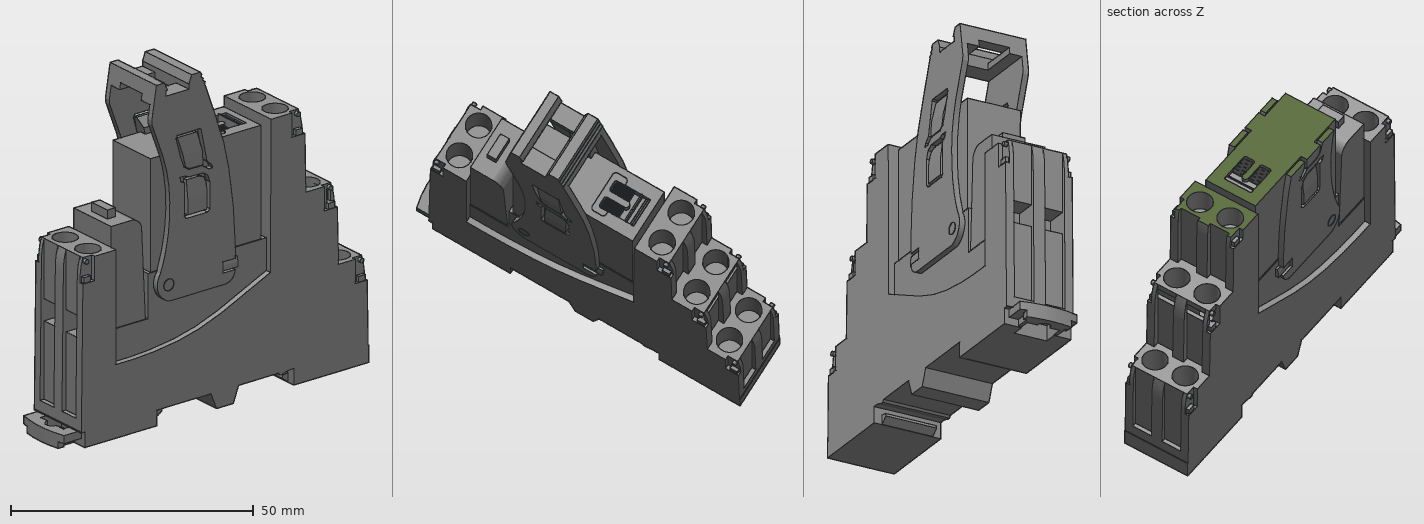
import cadquery as cq


BODY_HALF = 7.9
SOCKET_HALF = 6.5
RELAY_HALF = 6.26
CLIP_OUTER = 7.78
CLIP_INNER = 6.45

BASE_REAR = 75.2
REAR_TOP = 24.0
MIDDLE_TOP = 42.35
UPPER_TOP = 61.0
RAIL_ROOF = 3.7
FOOT_TOP = 3.9
FRONT_FLOOR = 0.2
RAIL_REAR = 55.6
RAIL_FRONT = 19.8
HOOK_HALF = 6.0

REAR_TERMINAL = (74.05, 74.8, REAR_TOP, 70.15, 6.4, 1)
MIDDLE_TERMINAL = (65.95, 67.0, MIDDLE_TOP, 62.25, REAR_TOP, 1)
UPPER_TERMINAL = (57.5, 58.55, UPPER_TOP, 53.9, MIDDLE_TOP, 1)
FRONT_TERMINAL = (1.2, 0.5, MIDDLE_TOP, 5.0, 6.4, -1)
TERMINALS = (REAR_TERMINAL, MIDDLE_TERMINAL, UPPER_TERMINAL, FRONT_TERMINAL)
BULGE_HEIGHT = 5.45
HOLE_RADIUS = 2.72
HOLE_X = 3.8
HOLE_DEPTH = 8.0
SLOT_INNER = 1.35
SLOT_OUTER = 6.0
SLOT_REACH = 3.0
ENTRY_BOTTOM = 23.9
ENTRY_TOP = 28.85
ENTRY_DEPTH = 5.0
NOTCH_LENGTH = 2.35
NOTCH_DEPTH = 0.95
NOTCH_PIN_RADIUS = 0.5
NOTCH_PIN_INSET = 0.5
NOTCH_PIN_DROP = 0.85
NOTCH_BLOCK_LENGTH = 1.75
NOTCH_BLOCK_HEIGHT = 1.3
NOTCH_FITTING_FACE = BODY_HALF - 0.15

WINDOW_BOTTOM = MIDDLE_TOP - BULGE_HEIGHT + NOTCH_BLOCK_HEIGHT
WINDOW_TOP = MIDDLE_TOP - 1.4
WINDOW_GAP = 0.95

SOCKET_REAR = 49.5
SOCKET_FRONT = 18.6
SOCKET_TOP = 34.1
MODULE_FLOOR = REAR_TOP
COLUMN_REAR = 9.15
KEY_HALF = 1.1
RELAY_REAR = 48.3
RELAY_FRONT = 19.4
RELAY_TOP = 59.5
LEVER_Y = 38.9
LEVER_WIDTH = 9.6
LEVER_LENGTH = 3.4
LEVER_DEPTH = 0.2
GRILLE_HALF = 3.35
GRILLE_FRONT = 42.9
GRILLE_DEPTH = 2.0
RIDGE_RISE = 0.3
TONGUE_HALF = 0.75
PRONG_FRONT = 38.3
PRONG_CORNER = 0.5
PRONG_RIBS = 9
PRONG_PITCH = 0.48
PRONG_RIB_DROP = 0.5
MODULE_REAR = 18.1
MODULE_TOP = 47.0
BUTTON_FRONT = 11.0
BUTTON_LENGTH = 2.1
BUTTON_HALF = 2.64
BUTTON_HEIGHT = 2.0

CLIP_TOP = 76.3
CLIP_FLOOR = 73.25
CLIP_BAR_BOTTOM = 71.75
CLIP_OPENING_HALF = 3.6
CLIP_GROOVE_REAR = 28.3
CLIP_GROOVE_FRONT = 22.3
CLIP_FRONT = 18.6
CLIP_BOTTOM = 27.2
FINGER_OVERLAP = 0.06
PIVOT_Y = 23.0
PIVOT_Z = 30.9
PIVOT_RADIUS = 1.3
LATCH_FRONT = 37.2
LATCH_REAR = 41.5
LATCH_BOTTOM = 29.8
LATCH_TOP = 32.3
LATCH_GAP = 0.2

TAB_TIP = -4.41
TAB_REAR = 1.0
TAB_CLEARANCE_REAR = 4.0
TAB_HALF = 6.75
TAB_BOTTOM = 0.4
TAB_STEP = 1.9
TAB_CORNER = -3.55
TAB_LIP_HALF = 5.25
TAB_LIP_REAR = -2.4
TAB_RIB_HALF = 4.6
TAB_SLOT_HALF = 3.84
TAB_SLOT_FRONT = -1.4
TAB_NOTCH_RADIUS = 1.5


def box(x0, x1, y0, y1, z0, z1):
    return cq.Workplane("XY").box(x1 - x0, y1 - y0, z1 - z0, centered=False).translate((x0, y0, z0))


def prism(wire, x0, x1):
    """Extrude a closed YZ outline from x0 to x1."""
    return wire.extrude(x1 - x0).translate((x0, 0, 0))


def outline(points):
    return cq.Workplane("YZ").polyline(points).close()


def both_sides(shape):
    return shape.union(shape.mirror("YZ"))


def bulge_points(terminal):
    """Start, middle and end of the curved stretch at the top of a terminal face."""
    edge, face, top, _, _, outward = terminal
    middle_y = (edge + face) / 2 + 0.2 * outward
    return (face, top - BULGE_HEIGHT), (middle_y, top - 0.45 * BULGE_HEIGHT), (edge, top)


def make_base():
    rear, middle, upper, front = [bulge_points(t) for t in TERMINALS]
    profile = (
        cq.Workplane("YZ")
        .moveTo(BASE_REAR, 0)
        .lineTo(BASE_REAR, FOOT_TOP)
        .lineTo(75.05, FOOT_TOP)
        .lineTo(*rear[0])
        .threePointArc(rear[1], rear[2])
        .lineTo(67.3, REAR_TOP)
        .lineTo(*middle[0])
        .threePointArc(middle[1], middle[2])
        .lineTo(58.75, MIDDLE_TOP)
        .lineTo(*upper[0])
        .threePointArc(upper[1], upper[2])
        .lineTo(49.7, UPPER_TOP)
        .lineTo(SOCKET_REAR, SOCKET_TOP)
        .lineTo(SOCKET_FRONT, SOCKET_TOP)
        .lineTo(SOCKET_FRONT, MODULE_FLOOR)
        .lineTo(COLUMN_REAR, MODULE_FLOOR)
        .lineTo(COLUMN_REAR, MIDDLE_TOP)
        .lineTo(*front[2])
        .threePointArc(front[1], front[0])
        .lineTo(0.1, FOOT_TOP)
        .lineTo(0, FOOT_TOP)
        .lineTo(0, RAIL_ROOF)
        .lineTo(TAB_REAR, RAIL_ROOF)
        .lineTo(TAB_REAR, FRONT_FLOOR)
        .lineTo(RAIL_FRONT, FRONT_FLOOR)
        .lineTo(RAIL_FRONT, RAIL_ROOF)
        .lineTo(33.97, RAIL_ROOF)
        .lineTo(35.44, 0)
        .lineTo(39.8, 0)
        .lineTo(41.2, RAIL_ROOF)
        .lineTo(51.6, RAIL_ROOF)
        .lineTo(52.0, 3.2)
        .lineTo(52.5, 3.2)
        .lineTo(54.2, RAIL_ROOF)
        .lineTo(RAIL_REAR, RAIL_ROOF)
        .lineTo(RAIL_REAR, 0)
        .close()
    )
    return prism(profile, -BODY_HALF, BODY_HALF)


def make_side_recess():
    """Space beside the socket, bounded below by the curved ledge."""
    ledge = [(39.8, 22.4), (30.7, 19.0), (19.8, 17.05), (COLUMN_REAR, 16.7)]
    profile = (
        cq.Workplane("YZ")
        .moveTo(SOCKET_REAR, 26.8)
        .spline(ledge, includeCurrent=True)
        .lineTo(COLUMN_REAR, SOCKET_TOP)
        .lineTo(SOCKET_REAR, SOCKET_TOP)
        .close()
    )
    return both_sides(prism(profile, SOCKET_HALF, BODY_HALF))


def make_rail_hooks():
    rear = outline([(RAIL_REAR, 2.2), (54.2, 2.0), (54.0, 1.35), (RAIL_REAR, 0.1)])
    front = outline(
        [
            (22.65, 2.7),
            (20.5, 2.7),
            (20.5, RAIL_ROOF),
            (RAIL_FRONT, RAIL_ROOF),
            (RAIL_FRONT, 0.3),
            (22.65, 2.2),
        ]
    )
    return prism(rear, -HOOK_HALF, HOOK_HALF).union(prism(front, -HOOK_HALF, HOOK_HALF))


def y_box(x0, x1, y_a, y_b, z0, z1):
    """Box whose two Y limits may come in either order."""
    return box(x0, x1, min(y_a, y_b), max(y_a, y_b), z0, z1)


def cut_terminal(body, terminal):
    edge, _, top, hole_y, slot_bottom, outward = terminal
    holes = (
        cq.Workplane("XY", origin=(0, hole_y, top - HOLE_DEPTH))
        .pushPoints([(-HOLE_X, 0), (HOLE_X, 0)])
        .circle(HOLE_RADIUS)
        .extrude(HOLE_DEPTH)
    )
    slot = y_box(SLOT_INNER, SLOT_OUTER, edge, edge + outward * SLOT_REACH, slot_bottom, top)
    notch_bottom = top - BULGE_HEIGHT
    notch_face = BODY_HALF - NOTCH_DEPTH
    notch_inner = edge - outward * NOTCH_LENGTH
    notch = y_box(notch_face, BODY_HALF, notch_inner, edge + outward * SLOT_REACH, notch_bottom, top)
    return body.cut(holes).cut(both_sides(slot)).cut(both_sides(notch))


def make_notch_fittings(terminal):
    """Small hinge pin and stop block in each side notch of a terminal."""
    edge, face, top, _, _, outward = terminal
    root = BODY_HALF - NOTCH_DEPTH
    pin = prism(
        cq.Workplane("YZ")
        .center(edge - outward * NOTCH_PIN_INSET, top - NOTCH_PIN_DROP)
        .circle(NOTCH_PIN_RADIUS),
        root,
        NOTCH_FITTING_FACE,
    )
    bottom = top - BULGE_HEIGHT
    block_outer = (edge + face) / 2
    block_inner = block_outer - outward * NOTCH_BLOCK_LENGTH
    block = y_box(root, NOTCH_FITTING_FACE, block_outer, block_inner, bottom, bottom + NOTCH_BLOCK_HEIGHT)
    return both_sides(pin.union(block))


def make_wire_entries():
    edge = FRONT_TERMINAL[0]
    return both_sides(box(SLOT_INNER, SLOT_OUTER, edge, edge + ENTRY_DEPTH, ENTRY_BOTTOM, ENTRY_TOP))


def make_middle_window():
    """Slit through the middle terminal, widened on the -X side as far as its screw hole."""
    edge = MIDDLE_TERMINAL[0]
    through = box(-BODY_HALF, BODY_HALF, edge - WINDOW_GAP, edge, WINDOW_BOTTOM, WINDOW_TOP)
    notch_inner = edge - NOTCH_LENGTH
    side = box(-BODY_HALF, -HOLE_X, notch_inner, edge - WINDOW_GAP, MIDDLE_TOP - BULGE_HEIGHT, WINDOW_TOP)
    return through.union(side)


def relay_top_cut(x0, x1, y0, y1, depth):
    return box(x0, x1, y0, y1, RELAY_TOP - depth, RELAY_TOP)


def make_relay():
    relay = box(-RELAY_HALF, RELAY_HALF, RELAY_FRONT, RELAY_REAR, SOCKET_TOP, RELAY_TOP)
    lever_recess = (
        cq.Workplane("XY", origin=(0, LEVER_Y, RELAY_TOP - LEVER_DEPTH))
        .rect(LEVER_WIDTH, LEVER_LENGTH)
        .extrude(LEVER_DEPTH)
        .edges("|Z")
        .fillet(0.8)
    )
    relay = relay.cut(lever_recess)
    relay = relay.cut(relay_top_cut(-TONGUE_HALF, TONGUE_HALF, LEVER_Y, GRILLE_FRONT, LEVER_DEPTH))

    for rear, depth in ((46.7, 0.5), (46.2, 1.0), (45.7, 1.5), (44.6, GRILLE_DEPTH)):
        relay = relay.cut(relay_top_cut(-GRILLE_HALF, GRILLE_HALF, GRILLE_FRONT, rear, depth))
    ridge = box(-GRILLE_HALF, GRILLE_HALF, 44.55, 44.85, RELAY_TOP - GRILLE_DEPTH, RELAY_TOP + RIDGE_RISE)
    tongue_tip = (
        cq.Workplane("XY", origin=(0, GRILLE_FRONT, RELAY_TOP - GRILLE_DEPTH))
        .circle(TONGUE_HALF)
        .extrude(GRILLE_DEPTH - LEVER_DEPTH)
    )

    pocket = relay_top_cut(TONGUE_HALF, GRILLE_HALF, PRONG_FRONT, GRILLE_FRONT, GRILLE_DEPTH)
    relay = relay.cut(both_sides(pocket.edges("|Z and <Y").fillet(PRONG_CORNER)))
    relay = relay.union(ridge).union(tongue_tip)
    for index in range(PRONG_RIBS):
        rib_y = PRONG_FRONT + PRONG_CORNER + index * PRONG_PITCH
        rib = box(
            TONGUE_HALF,
            GRILLE_HALF,
            rib_y,
            rib_y + PRONG_PITCH / 2,
            RELAY_TOP - GRILLE_DEPTH,
            RELAY_TOP - PRONG_RIB_DROP,
        )
        relay = relay.union(both_sides(rib))
    return relay


def make_module():
    profile = (
        cq.Workplane("YZ")
        .moveTo(COLUMN_REAR, MODULE_FLOOR)
        .lineTo(MODULE_REAR, MODULE_FLOOR)
        .lineTo(17.1, 44.9)
        .threePointArc((16.2, 46.3), (14.6, MODULE_TOP))
        .lineTo(COLUMN_REAR, MODULE_TOP)
        .close()
    )
    module = prism(profile, -RELAY_HALF, RELAY_HALF)
    button = box(
        -BUTTON_HALF,
        BUTTON_HALF,
        BUTTON_FRONT,
        BUTTON_FRONT + BUTTON_LENGTH,
        MODULE_TOP,
        MODULE_TOP + BUTTON_HEIGHT,
    )
    return module.union(button)


def make_clip_plate():
    """Side outline of the clip, extruded over the full clip width."""
    profile = (
        cq.Workplane("YZ")
        .moveTo(31.3, CLIP_TOP)
        .lineTo(29.0, CLIP_TOP)
        .lineTo(CLIP_GROOVE_REAR, 74.4)
        .lineTo(CLIP_GROOVE_REAR, CLIP_FLOOR)
        .lineTo(CLIP_GROOVE_FRONT, CLIP_FLOOR)
        .lineTo(CLIP_GROOVE_FRONT, 74.4)
        .lineTo(22.7, 74.5)
        .lineTo(21.9, CLIP_TOP)
        .lineTo(19.8, CLIP_TOP)
        .lineTo(CLIP_FRONT, 68.7)
        .lineTo(CLIP_FRONT + 0.1, 67.6)
        .lineTo(21.5, 60.0)
        .spline([(22.9, 54.2), (23.3, 48.2), (22.55, 40.1), (20.8, 33.8)], includeCurrent=True)
        .threePointArc((20.6, 29.2), (23.3, CLIP_BOTTOM))
        .lineTo(37.5, CLIP_BOTTOM)
        .threePointArc((39.6, 28.0), (40.4, 29.8))
        .lineTo(40.4, 35.2)
        .spline([(40.0, 42.8), (39.15, 50.1), (37.2, 59.7), (34.5, 67.6), (32.7, 72.7)], includeCurrent=True)
        .lineTo(32.4, 73.5)
        .lineTo(32.6, 73.8)
        .lineTo(31.9, 74.3)
        .lineTo(32.1, 74.7)
        .lineTo(31.5, 75.2)
        .lineTo(31.7, 75.7)
        .close()
    )
    return prism(profile, -CLIP_OUTER, CLIP_OUTER)


def make_clip_windows():
    """Loops cut through the legs around the two spring fingers."""
    upper = outline(
        [
            (31.5, 63.4),
            (31.2, 63.7),
            (25.3, 63.7),
            (24.95, 63.0),
            (26.1, 58.6),
            (27.0, 56.2),
            (28.3, 55.3),
            (31.8, 55.3),
            (33.4, 54.1),
            (34.5, 54.1),
            (34.2, 54.9),
            (33.0, 56.0),
        ]
    )
    lower = outline(
        [
            (33.8, 45.1),
            (33.8, 51.1),
            (33.2, 52.8),
            (31.8, 53.6),
            (28.3, 53.6),
            (27.2, 54.1),
            (25.9, 54.1),
            (26.3, 53.0),
            (27.15, 52.6),
            (27.15, 45.1),
            (27.7, 44.5),
            (33.2, 44.5),
        ]
    )
    windows = prism(upper, CLIP_INNER, CLIP_OUTER).union(prism(lower, CLIP_INNER, CLIP_OUTER))
    return both_sides(windows)


def make_finger(side_points, section_points):
    """Finger with the given YZ side outline and XZ section, resting against the relay."""
    side = prism(outline(side_points), 0, CLIP_OUTER)
    section = cq.Workplane("XZ").polyline(section_points).close().extrude(-RELAY_REAR)
    return both_sides(side.intersect(section))


def make_fingers():
    root = RELAY_HALF - FINGER_OVERLAP
    lug_tip = 4.65
    upper = make_finger(
        [(30.85, 62.9), (25.7, 62.9), (26.8, 58.7), (27.4, 56.0), (28.3, 55.5), (32.0, 55.4), (31.8, 58.7)],
        [
            (root, 55.0),
            (CLIP_OUTER, 55.0),
            (CLIP_OUTER, 58.7),
            (7.2, 62.9),
            (CLIP_INNER, 62.9),
            (lug_tip, 61.0),
            (lug_tip, RELAY_TOP),
            (root, RELAY_TOP),
        ],
    )
    lower = make_finger(
        [(33.05, 45.2), (33.05, 51.0), (32.5, 52.4), (31.2, 52.9), (28.0, 52.9), (28.0, 45.2)],
        [(root, 45.2), (CLIP_OUTER, 45.2), (CLIP_OUTER, 48.8), (7.3, 52.9), (root, 52.9)],
    )
    return upper.union(lower)


def make_latch_nubs():
    """Snap wedges of the socket that hold the clip legs."""
    section = [
        (CLIP_INNER, LATCH_BOTTOM + LATCH_GAP),
        (7.3, LATCH_BOTTOM + LATCH_GAP),
        (7.3, 31.1),
        (7.0, LATCH_TOP),
        (CLIP_INNER, LATCH_TOP),
    ]
    length = LATCH_REAR - LATCH_FRONT - LATCH_GAP
    nub = cq.Workplane("XZ", origin=(0, LATCH_REAR, 0)).polyline(section).close().extrude(length)
    return both_sides(nub)


def make_clip():
    clip = make_clip_plate()
    clip = clip.cut(box(-CLIP_INNER, CLIP_INNER, 0, BASE_REAR, 0, CLIP_BAR_BOTTOM))
    opening = box(
        -CLIP_OPENING_HALF, CLIP_OPENING_HALF, CLIP_FRONT, CLIP_GROOVE_REAR, CLIP_BAR_BOTTOM, CLIP_FLOOR
    )
    clip = clip.cut(opening).cut(make_clip_windows())
    latch_opening = box(CLIP_INNER, CLIP_OUTER, LATCH_FRONT, LATCH_REAR, LATCH_BOTTOM, LATCH_TOP)
    clip = clip.cut(both_sides(latch_opening)).union(make_fingers())
    pivot = prism(
        cq.Workplane("YZ").center(PIVOT_Y, PIVOT_Z).circle(PIVOT_RADIUS), SOCKET_HALF, BODY_HALF
    )
    return clip.union(both_sides(pivot)).union(make_latch_nubs())


def make_tab():
    plate = (
        cq.Workplane("XY", origin=(0, 0, TAB_BOTTOM))
        .moveTo(-TAB_HALF, TAB_REAR)
        .lineTo(-TAB_HALF, TAB_CORNER)
        .threePointArc((0, TAB_TIP), (TAB_HALF, TAB_CORNER))
        .lineTo(TAB_HALF, TAB_REAR)
        .close()
        .extrude(RAIL_ROOF - TAB_BOTTOM)
    )
    slot = box(-TAB_SLOT_HALF, TAB_SLOT_HALF, TAB_SLOT_FRONT, TAB_REAR, 0, RAIL_ROOF)
    notch = cq.Workplane("XY", origin=(0, TAB_SLOT_FRONT, 0)).circle(TAB_NOTCH_RADIUS).extrude(RAIL_ROOF)
    beside_lip = box(TAB_LIP_HALF, TAB_HALF, TAB_TIP, TAB_REAR, TAB_BOTTOM, TAB_STEP)
    beside_rib = box(TAB_RIB_HALF, TAB_HALF, TAB_LIP_REAR, TAB_REAR, TAB_BOTTOM, TAB_STEP)
    return plate.cut(slot).cut(notch).cut(both_sides(beside_lip)).cut(both_sides(beside_rib))


base = make_base().cut(make_side_recess())
for terminal in TERMINALS:
    base = cut_terminal(base, terminal)
base = base.cut(make_wire_entries()).cut(make_middle_window())
base = base.cut(box(-KEY_HALF, KEY_HALF, SOCKET_FRONT, RELAY_FRONT, MODULE_FLOOR, SOCKET_TOP))
base = base.cut(box(-TAB_SLOT_HALF, TAB_SLOT_HALF, TAB_REAR, TAB_CLEARANCE_REAR, 0, RAIL_ROOF))
for terminal in TERMINALS:
    base = base.union(make_notch_fittings(terminal))

result = (
    base.union(make_rail_hooks())
    .union(make_relay())
    .union(make_module())
    .union(make_clip())
    .union(make_tab())
)